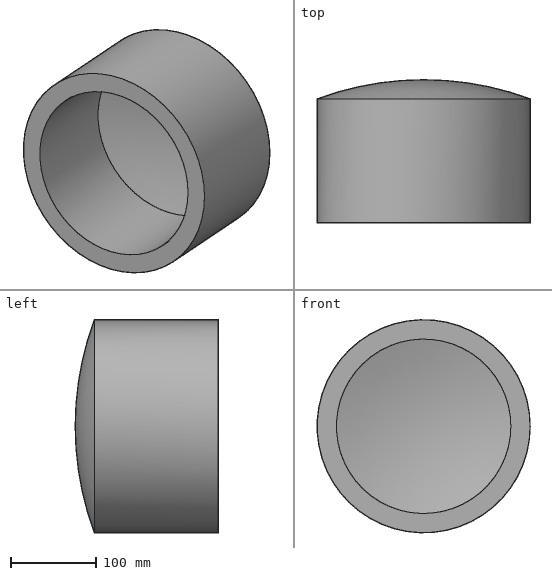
import cadquery as cq
import math

outer_radius = 125.0
wall = 22.8
total_length = 168.0
skirt_length = 145.5

inner_radius = outer_radius - wall
dome_rise = total_length - skirt_length
dome_radius = (outer_radius**2 + dome_rise**2) / (2 * dome_rise)
dome_center = total_length - dome_radius
inner_dome_radius = dome_radius - wall


def dome_height(sphere_radius, distance):
    """Y position of a dome surface at a distance from the cap axis."""
    return dome_center + math.sqrt(sphere_radius**2 - distance**2)


section = (
    cq.Workplane("XY")
    .moveTo(inner_radius, 0)
    .lineTo(outer_radius, 0)
    .lineTo(outer_radius, skirt_length)
    .threePointArc(
        (outer_radius / 2, dome_height(dome_radius, outer_radius / 2)),
        (0, total_length),
    )
    .lineTo(0, total_length - wall)
    .threePointArc(
        (inner_radius / 2, dome_height(inner_dome_radius, inner_radius / 2)),
        (inner_radius, dome_height(inner_dome_radius, inner_radius)),
    )
    .close()
)

result = section.revolve(360, (0, 0, 0), (0, 1, 0))